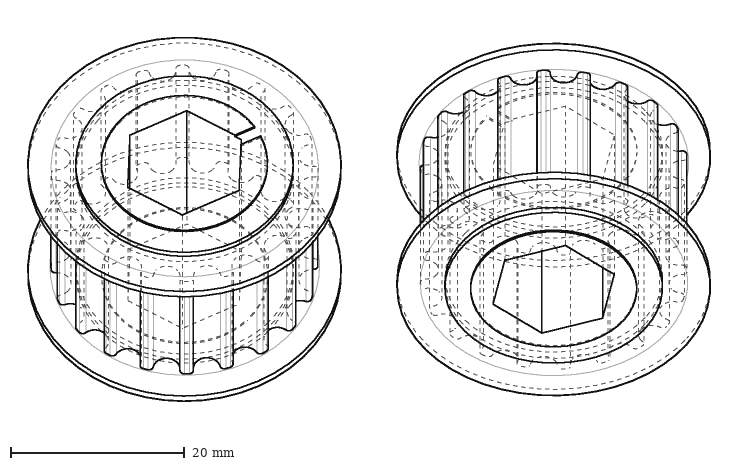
import cadquery as cq
import math

overall_height = 22.225
boss_radius = 9.55
boss_height = 0.254
hub_radius = 12.5
hex_across_flats = 12.8
index_slot_width = 1.5

tooth_count = 20
tooth_tip_radius = 15.34
groove_depth = 2.06
groove_radius = 1.56
tooth_edge_radius = 0.5
toothed_length = 18.15

flange_radius = 18.0
flange_thickness = 1.0
flange_bend_radius = 15.5
flange_flare_angle = 15.0

half_height = overall_height / 2
hub_top = half_height - boss_height
half_toothed_length = toothed_length / 2
tooth_pitch_angle = 360 / tooth_count
hex_across_corners = hex_across_flats / math.cos(math.radians(30))


def polar(radius, angle):
    """Point at the given radius and angle in degrees."""
    turn = math.radians(angle)
    return radius * math.cos(turn), radius * math.sin(turn)


def toothed_outline():
    """Closed outline with round grooves, one of them centred on each multiple of the pitch angle."""
    groove_centre = tooth_tip_radius - groove_depth + groove_radius
    edge_centre = tooth_tip_radius - tooth_edge_radius
    centre_distance = groove_radius + tooth_edge_radius

    edge_cosine = (edge_centre**2 + groove_centre**2 - centre_distance**2) / (2 * edge_centre * groove_centre)
    edge_angle = math.degrees(math.acos(edge_cosine))
    edge_x, edge_y = polar(edge_centre, edge_angle)

    contact_direction = math.degrees(math.atan2(-edge_y, groove_centre - edge_x))
    contact_x = edge_x + tooth_edge_radius * math.cos(math.radians(contact_direction))
    contact_y = edge_y + tooth_edge_radius * math.sin(math.radians(contact_direction))
    contact_radius = math.hypot(contact_x, contact_y)
    contact_angle = math.degrees(math.atan2(contact_y, contact_x))

    middle_direction = math.radians((edge_angle + contact_direction) / 2)
    middle_x = edge_x + tooth_edge_radius * math.cos(middle_direction)
    middle_y = edge_y + tooth_edge_radius * math.sin(middle_direction)
    middle_radius = math.hypot(middle_x, middle_y)
    middle_angle = math.degrees(math.atan2(middle_y, middle_x))

    outline = cq.Workplane("XY").workplane(offset=-half_toothed_length)
    outline = outline.moveTo(*polar(tooth_tip_radius, -edge_angle))
    for index in range(tooth_count):
        turn = index * tooth_pitch_angle
        next_turn = turn + tooth_pitch_angle
        outline = outline.threePointArc(
            polar(middle_radius, turn - middle_angle), polar(contact_radius, turn - contact_angle)
        )
        outline = outline.threePointArc(
            polar(tooth_tip_radius - groove_depth, turn), polar(contact_radius, turn + contact_angle)
        )
        outline = outline.threePointArc(
            polar(middle_radius, turn + middle_angle), polar(tooth_tip_radius, turn + edge_angle)
        )
        outline = outline.threePointArc(
            polar(tooth_tip_radius, turn + tooth_pitch_angle / 2), polar(tooth_tip_radius, next_turn - edge_angle)
        )
    return outline.close()


def centred_cylinder(radius, height):
    return cq.Workplane("XY").circle(radius).extrude(height / 2, both=True)


def make_pulley():
    """Toothed body with stepped hub ends and a hexagonal bore."""
    pulley = toothed_outline().extrude(toothed_length)
    pulley = pulley.union(centred_cylinder(hub_radius, 2 * hub_top))
    pulley = pulley.union(centred_cylinder(boss_radius, overall_height))

    index_slot = (
        cq.Workplane("XY")
        .box(index_slot_width, hub_radius, boss_height, centered=(True, False, False))
        .translate((0, 0, hub_top))
    )
    hex_bore = (
        cq.Workplane("XY")
        .polygon(6, hex_across_corners)
        .extrude(half_height, both=True)
        .rotate((0, 0, 0), (0, 0, 1), 30)
    )
    return pulley.cut(index_slot).cut(hex_bore)


def make_upper_flange():
    """Sheet washer around the hub, its rim flared away from the teeth."""
    flare = math.radians(flange_flare_angle)
    web_bottom = half_toothed_length
    web_top = web_bottom + flange_thickness
    top_bend_radius = flange_bend_radius - flange_thickness * math.tan(flare / 2)
    rim_bottom = web_bottom + (flange_radius - flange_bend_radius) * math.tan(flare)
    rim_top = rim_bottom + flange_thickness / math.cos(flare)
    return (
        cq.Workplane("XZ")
        .moveTo(hub_radius, web_bottom)
        .lineTo(flange_bend_radius, web_bottom)
        .lineTo(flange_radius, rim_bottom)
        .lineTo(flange_radius, rim_top)
        .lineTo(top_bend_radius, web_top)
        .lineTo(hub_radius, web_top)
        .close()
        .revolve(360, (0, 0, 0), (0, 1, 0))
    )


pulley = make_pulley()
upper_flange = make_upper_flange()
lower_flange = upper_flange.mirror("XY")

result = cq.Compound.makeCompound([pulley.solids().val(), upper_flange.val(), lower_flange.val()])